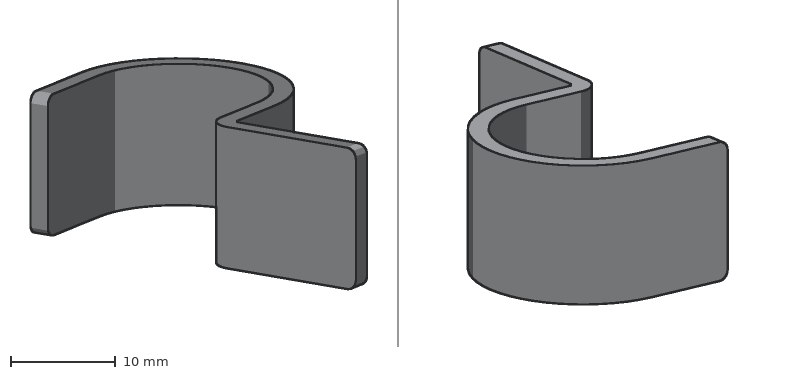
import cadquery as cq

length = 37.0
strip_width = 14.0
thickness = 2.0

saddle_radius = 11.0
leg_length = 9.03
bend_radius = 2.5
corner_radius = 1.0

saddle_inner_radius = saddle_radius - thickness
bend_inner_radius = bend_radius - thickness

base_y = -leg_length
flange_top_y = base_y + thickness
flange_end_x = length - saddle_radius
bend_x = saddle_inner_radius + bend_radius
bend_y = base_y + bend_radius


def bent_strip():
    """Half-round saddle with one free leg and one leg bent into a flange."""
    profile = (
        cq.Workplane("XY")
        .moveTo(-saddle_radius, base_y)
        .lineTo(-saddle_radius, 0)
        .threePointArc((0, saddle_radius), (saddle_radius, 0))
        .lineTo(saddle_radius, bend_y)
        .radiusArc((bend_x, flange_top_y), -bend_inner_radius)
        .lineTo(flange_end_x, flange_top_y)
        .lineTo(flange_end_x, base_y)
        .lineTo(bend_x, base_y)
        .radiusArc((saddle_inner_radius, bend_y), bend_radius)
        .lineTo(saddle_inner_radius, 0)
        .threePointArc((0, saddle_inner_radius), (-saddle_inner_radius, 0))
        .lineTo(-saddle_inner_radius, base_y)
        .close()
    )
    return profile.extrude(strip_width)


def round_strip_ends(strip):
    """Round the two corners at each end of the strip, through its thickness."""
    strip = strip.faces(">X").edges("|Y").fillet(corner_radius)
    free_leg_box = cq.selectors.BoxSelector(
        (-saddle_radius, base_y - thickness, -thickness),
        (0, flange_top_y, strip_width + thickness),
    )
    return strip.edges(free_leg_box).edges("|X").fillet(corner_radius)


result = round_strip_ends(bent_strip())